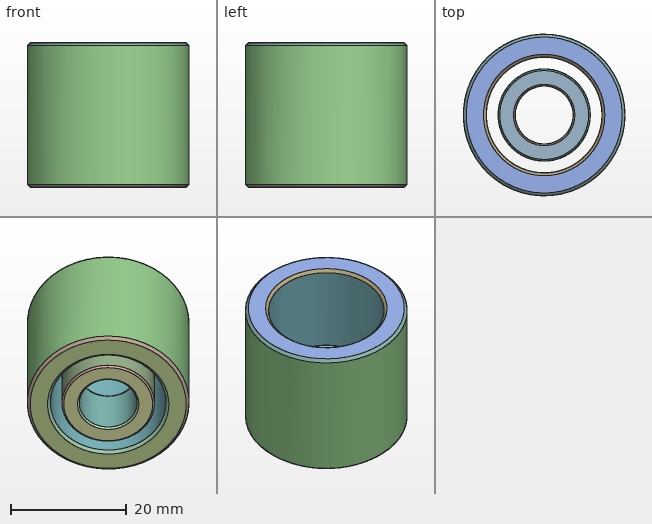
import cadquery as cq

sleeve_diameter = 28.0
sleeve_bore = 20.0
sleeve_height = 25.0
sleeve_chamfer = 0.5

ring_diameter = 16.0
ring_bore = 10.0
ring_height = 10.0
ring_chamfer = 0.3


def chamfered_tube(outer_diameter, bore_diameter, height, chamfer):
    """Upright tube standing on Z = 0, with all four rims chamfered."""
    tube = cq.Workplane("XY").circle(outer_diameter / 2).circle(bore_diameter / 2).extrude(height)
    return tube.faces("<Z or >Z").edges().chamfer(chamfer)


sleeve = chamfered_tube(sleeve_diameter, sleeve_bore, sleeve_height, sleeve_chamfer)
ring = chamfered_tube(ring_diameter, ring_bore, ring_height, ring_chamfer)

result = cq.Compound.makeCompound([sleeve.val(), ring.val()])